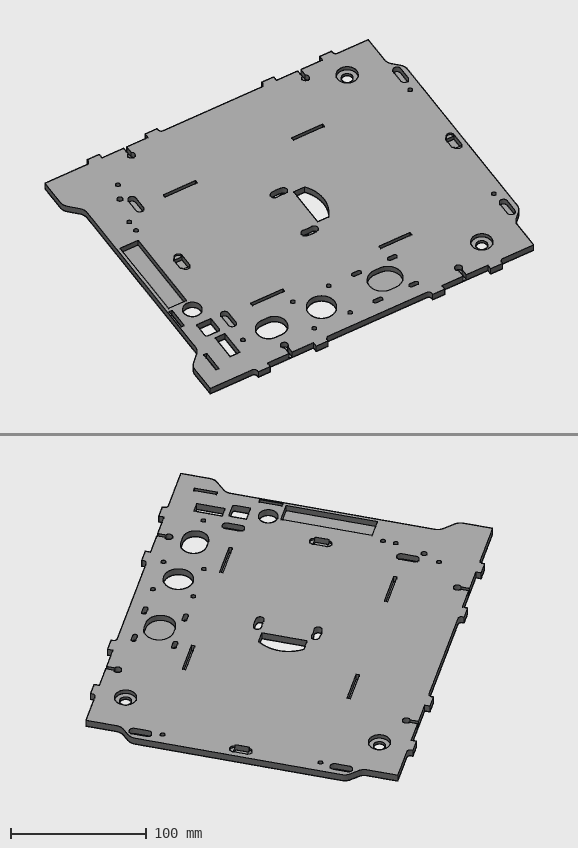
import cadquery as cq
import math

plate_length = 287.5
tab_span = 245.5
thickness = 6.0
body_width = 237.5
skin = 1.0
pocket_depth = thickness - skin

half_length = plate_length / 2
half_width = body_width / 2

step_middle_x = 87.0
rear_step = 9.8
front_step = 11.8
bend_radius = 8.3

tab_length = 10.4
tab_offsets = (50.0, 99.8)
tab_root_radius = 2.5
tab_overlap = 3.0

mount_x, mount_y = 96.5, 102.5
mount_bore = 9.0
mount_recess = 16.5
mount_recess_depth = 3.5

slit_width = 2.5
notch_y = 74.8
notch_hole_x = 109.8
notch_hole = 5.8
strip_slot_x = 62.7
strip_slots = ((35.5, 62.0), (-74.8, -47.2))

rear_latch_y = 136.5
rear_latch_x = 76.5
front_latch_y = -97.0
front_latch_x = 66.5
latch_length = 17.0
latch_width = 6.3
latch_step_depth = 1.7
tongue_width = 11.0
tongue_overhang = 1.5
tongue_corner = 1.0

window_width = 34.5
window_bottom = 9.2
window_shoulder = 18.7
window_top = 24.7
arc_slot_radius = 22.5
arc_slot_width = 6.0
arc_slot_angle = 10.0
arc_slot_center_y = -0.5

socket_x = 91.5
socket_width = 22.5
oblong_y = 22.7
oblong_length = 27.0
round_y = -32.0
screw_pitch = 30.8
screw_hole = 3.5
pill_spread = 30.8
pill_length = 7.8
pill_width = 3.5
oval_x, oval_y = 90.0, -74.0
oval_width = 19.5
oval_length = 24.7

tray_width = 69.5
tray_length = 15.5
tray_y = -121.5
knob_x, knob_y = 44.5, -114.7
knob_hole = 14.5
square_x, square_y = 66.0, -113.8
square_width = 13.5
square_length = 12.5
square_corner = 1.7
port_x, port_y = 88.3, -110.7
port_width = 21.5
port_length = 8.3
label_slot_y = -129.5
label_slot_width = 2.5
label_slots = ((37.7, 55.2), (87.5, 105.0))

small_holes = (
    (-60.0, 134.8, screw_hole),
    (60.0, 134.8, screw_hole),
    (-89.7, -98.3, screw_hole),
    (89.7, -98.3, screw_hole),
    (-76.8, -104.5, 4.3),
    (-53.8, -110.0, screw_hole),
    (-44.0, -110.0, screw_hole),
)


def prism(sketch, depth):
    """Cutter reaching `depth` below the top face from a closed sketch."""
    return sketch.extrude(-depth)


def top_plane(x, y):
    """Workplane on the top face, centred on the given point."""
    return cq.Workplane("XY", origin=(x, y, thickness))


def round_cutter(x, y, diameter, depth=thickness):
    return prism(top_plane(x, y).circle(diameter / 2), depth)


def box_cutter(x, y, size_x, size_y, depth=thickness):
    return prism(top_plane(x, y).rect(size_x, size_y), depth)


def slot_cutter(x, y, length, width, angle=0, depth=thickness):
    return prism(top_plane(x, y).slot2D(length, width, angle), depth)


def mirrored(cutter):
    """The cutter together with its copy across the YZ plane."""
    return [cutter, cutter.mirror("YZ")]


def step_corners(rise):
    """Outer and inner X of a 45 degree step of the given rise."""
    return step_middle_x + rise / 2, step_middle_x - rise / 2


def plate_body():
    rear_outer, rear_inner = step_corners(rear_step)
    front_outer, front_inner = step_corners(front_step)
    rear_corner_y = half_length - rear_step
    bend_zone = (front_outer + half_width) / 2
    front_middle_y = -half_length + front_step
    right_side = [
        (front_inner, front_middle_y),
        (front_outer, -half_length),
        (half_width, -half_length),
        (half_width, rear_corner_y),
        (rear_outer, rear_corner_y),
        (rear_inner, half_length),
    ]
    left_side = [(-x, y) for x, y in reversed(right_side)]
    body = cq.Workplane("XY").polyline(right_side + left_side).close().extrude(thickness)
    steps = cq.selectors.BoxSelector(
        (-bend_zone, -plate_length, -thickness),
        (bend_zone, plate_length, 2 * thickness),
    )
    return body.edges("|Z").edges(steps).fillet(bend_radius)


def side_tab(y, away):
    """Tab on the right side; `away` is the Y direction of its filleted root."""
    edge = y + away * tab_length / 2
    tip_x = tab_span / 2
    root_x = half_width
    inner_x = root_x - tab_overlap
    bulge = tab_root_radius * (1 - math.sqrt(0.5))
    return (
        cq.Workplane("XY")
        .moveTo(inner_x, y - away * tab_length / 2)
        .lineTo(tip_x, y - away * tab_length / 2)
        .lineTo(tip_x, edge)
        .lineTo(root_x + tab_root_radius, edge)
        .threePointArc(
            (root_x + bulge, edge + away * bulge),
            (root_x, edge + away * tab_root_radius),
        )
        .lineTo(inner_x, edge + away * tab_root_radius)
        .close()
        .extrude(thickness)
    )


plate = plate_body()
for offset in tab_offsets:
    for side in (1, -1):
        away = side if offset == max(tab_offsets) else -side
        for tab in mirrored(side_tab(side * offset, away)):
            plate = plate.union(tab)

cutters = []

cutters += mirrored(round_cutter(mount_x, mount_y, mount_bore))
cutters += mirrored(round_cutter(mount_x, mount_y, mount_recess, mount_recess_depth))

for y in (notch_y, -notch_y):
    slit_length = half_width - notch_hole_x
    slit_center = (half_width + notch_hole_x) / 2
    cutters += mirrored(box_cutter(slit_center, y, slit_length, slit_width, pocket_depth))
    cutters += mirrored(round_cutter(notch_hole_x, y, notch_hole, pocket_depth))

for low, high in strip_slots:
    center = (low + high) / 2
    cutters += mirrored(box_cutter(strip_slot_x, center, slit_width, high - low, pocket_depth))


def middle_latch(y):
    """Shallow slot with a deeper tongue that overhangs its front side."""
    tongue_length = latch_width + tongue_overhang
    tongue = box_cutter(0, y - tongue_overhang / 2, tongue_width, tongue_length, pocket_depth)
    tongue = tongue.edges("|Z and <Y").fillet(tongue_corner)
    return [slot_cutter(0, y, latch_length, latch_width, depth=latch_step_depth), tongue]


for x, y in ((rear_latch_x, rear_latch_y), (front_latch_x, front_latch_y)):
    cutters += mirrored(slot_cutter(x, y, latch_length, latch_width, depth=pocket_depth))
    cutters += middle_latch(y)


def arched_window():
    half = window_width / 2
    sketch = (
        top_plane(0, 0)
        .moveTo(-half, window_bottom)
        .lineTo(half, window_bottom)
        .lineTo(half, window_shoulder)
        .threePointArc((0, window_top), (-half, window_shoulder))
        .close()
    )
    return prism(sketch, thickness)


def arc_slot():
    """Curved slot on the right of the centre, with round ends."""
    inner = arc_slot_radius - arc_slot_width / 2
    outer = arc_slot_radius + arc_slot_width / 2
    end_angle = math.radians(arc_slot_angle)
    end_reach = math.asin(arc_slot_width / 2 / arc_slot_radius)

    def at(radius, angle):
        return radius * math.cos(angle), radius * math.sin(angle)

    sketch = (
        top_plane(0, arc_slot_center_y)
        .moveTo(*at(inner, -end_angle))
        .threePointArc(at(inner, 0), at(inner, end_angle))
        .threePointArc(at(arc_slot_radius, end_angle + end_reach), at(outer, end_angle))
        .threePointArc(at(outer, 0), at(outer, -end_angle))
        .threePointArc(at(arc_slot_radius, -end_angle - end_reach), at(inner, -end_angle))
        .close()
    )
    return prism(sketch, thickness)


cutters.append(arched_window())
cutters += mirrored(arc_slot())

cutters.append(slot_cutter(socket_x, oblong_y, oblong_length, socket_width, 90, pocket_depth))
cutters.append(round_cutter(socket_x, round_y, socket_width))
cutters.append(slot_cutter(oval_x, oval_y, oval_length, oval_width, 90))
for sx in (-1, 1):
    for sy in (-1, 1):
        x = socket_x + sx * screw_pitch / 2
        pill_y = oblong_y + sy * pill_spread / 2
        cutters.append(slot_cutter(x, pill_y, pill_length, pill_width, 90))
        cutters.append(round_cutter(x, round_y + sy * screw_pitch / 2, screw_hole))

cutters.append(box_cutter(0, tray_y, tray_width, tray_length, pocket_depth))
cutters.append(round_cutter(knob_x, knob_y, knob_hole))
square = box_cutter(square_x, square_y, square_width, square_length)
cutters.append(square.edges("|Z and >X").fillet(square_corner))
cutters.append(box_cutter(port_x, port_y, port_width, port_length))
for left, right in label_slots:
    center = (left + right) / 2
    cutters.append(box_cutter(center, label_slot_y, right - left, label_slot_width, pocket_depth))

for x, y, diameter in small_holes:
    cutters.append(round_cutter(x, y, diameter))

for cutter in cutters:
    plate = plate.cut(cutter)

result = plate